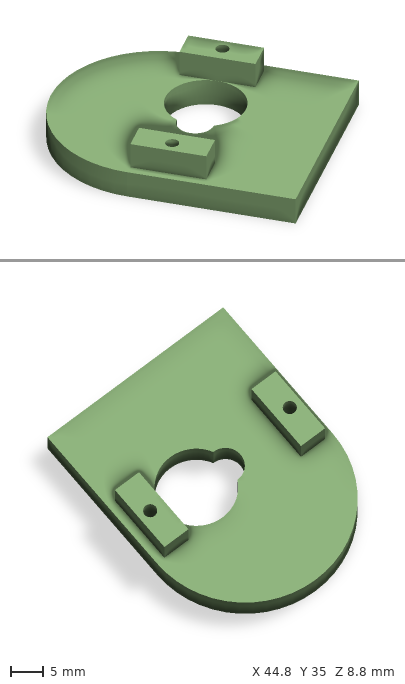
import cadquery as cq

plate_width = 35.0
plate_length = 44.8
plate_thickness = 4.5
end_radius = plate_width / 2
straight_length = plate_length - end_radius

feature_x = 6.25

overall_height = 8.8
block_length = 12.3
block_width = 4.8
block_height = overall_height - plate_thickness
block_edge_gap = 1.5
block_offset_y = end_radius - block_edge_gap - block_width / 2

screw_hole_diameter = 2.2
screw_hole_offset_y = 13.9

keyhole_large_diameter = 13.0
keyhole_large_y = 4.7
keyhole_small_diameter = 6.0
keyhole_small_y = -1.1


def make_plate():
    """Plate with its rounded end toward -X and its underside at Z = 0."""
    return (
        cq.Workplane("XY")
        .moveTo(straight_length, -end_radius)
        .lineTo(straight_length, end_radius)
        .lineTo(0, end_radius)
        .threePointArc((-end_radius, 0), (0, -end_radius))
        .close()
        .extrude(plate_thickness)
    )


def make_block(center_y):
    """Rectangular block standing on the plate's top face."""
    return (
        cq.Workplane("XY", origin=(feature_x, center_y, plate_thickness))
        .rect(block_length, block_width)
        .extrude(block_height)
    )


def make_vertical_cutter(center_y, diameter):
    """Round cutter through the full height of the part."""
    return (
        cq.Workplane("XY", origin=(feature_x, center_y, 0))
        .circle(diameter / 2)
        .extrude(overall_height)
    )


result = make_plate()

for side in (-1, 1):
    result = result.union(make_block(side * block_offset_y))
    result = result.cut(make_vertical_cutter(side * screw_hole_offset_y, screw_hole_diameter))

result = result.cut(make_vertical_cutter(keyhole_large_y, keyhole_large_diameter))
result = result.cut(make_vertical_cutter(keyhole_small_y, keyhole_small_diameter))